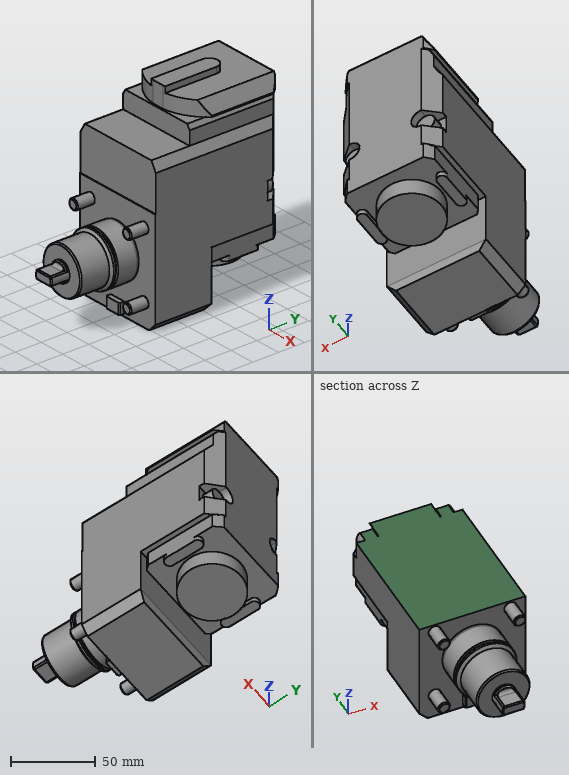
import cadquery as cq
import math


width = 70.0
back_y = 99.3
bottom_z = -42.0
shoulder_z = 72.0
step_z = 1.4
foot_depth = 43.5
side_bevel_height = 6.9
neck_width = 61.9
foot_bevel = (5.6, 5.8)
foot_back_bevel = (1.5, 5.8)
corner_bevel = (9.5, 8.8)
relief_z = 37.6
relief_depth = 0.5

neck_front_y = 30.0
neck_top_z = 85.9
neck_bevel_height = 3.6
plate_top_z = 97.0
plate_rim_height = 1.0
plate_width = 63.2
plate_top_width = 51.4
flat_width = 9.4

head_y = 70.4
head_radius = 39.5
top_key_width = 13.0
top_key_end_y = 77.3
top_z = 101.5
lower_plate_z = -10.8
spindle_diameter = 42.0
spindle_end_z = -23.0
tab_length = 27.6
tab_width = 6.9
tab_height = 3.6

spigot_diameter = 40.0
spigot_root_diameter = 39.6
root_length = 0.8
root_bevel_end = 1.5
groove_diameter = 36.4
groove_start = 16.0
groove_end = 17.9
collar_edge = 19.5
collar_end = 20.8
nose_diameter = 35.3
nose_end = 43.1
nose_bevel = (0.8, 1.1)

hub_diameter = 15.0
hub_end = 45.3
hub_bevel = 1.0
tang_thickness = 6.9
tang_end = 57.4
tang_bevel = 0.8
tang_root_radius = 2.2

screw_spacing = 49.8
screw_diameter = 8.0
screw_length = 13.8
screw_bevel = 0.8
screw_head_diameter = 13.0
screw_head_height = 7.2
screw_pocket_width = 13.3
screw_seat_y = 86.8
locating_key = (12.5, 3.8, 8.1)
locating_key_z = -35.9
locating_key_bevel = 0.8

overlap = 1.5
tan_30 = math.tan(math.radians(30))


def block(x_size, y_min, y_max, z_min, z_max):
    """Box centred on X = 0."""
    box = cq.Workplane("XY").box(x_size, y_max - y_min, z_max - z_min, centered=(True, False, False))
    return box.translate((0, y_min, z_min))


def beveled_wall(half_profile, y_min, y_max):
    """Mirror an (x, z) half outline about X = 0 and extrude it along Y."""
    mirrored = [(-x, z) for x, z in reversed(half_profile)]
    wall = cq.Workplane("XZ").polyline(half_profile + mirrored).close().extrude(y_min - y_max)
    return wall.translate((0, y_min, 0))


def round_bar(diameter, y_min, y_max, x=0, z=0):
    """Cylinder along Y."""
    bar = cq.Workplane("XZ").circle(diameter / 2).extrude(y_min - y_max)
    return bar.translate((x, y_min, z))


def head_disc(radius, z_min, z_max):
    """Cylinder on the vertical head axis."""
    return cq.Workplane("XY").circle(radius).extrude(z_max - z_min).translate((0, head_y, z_min))


def make_housing():
    half = width / 2
    housing = beveled_wall(
        [
            (half - foot_bevel[0], bottom_z),
            (half, bottom_z + foot_bevel[1]),
            (half, shoulder_z - side_bevel_height),
            (neck_width / 2, shoulder_z),
        ],
        0,
        back_y,
    )
    housing = housing.cut(block(2 * width, foot_depth, 2 * back_y, 2 * bottom_z, step_z))
    foot_back_wedge = (
        cq.Workplane("YZ")
        .moveTo(foot_depth, bottom_z)
        .lineTo(foot_depth, bottom_z + foot_back_bevel[1])
        .lineTo(foot_depth - foot_back_bevel[0], bottom_z)
        .close()
        .extrude(half, both=True)
    )
    relief = block(width, 0, relief_depth, relief_z, shoulder_z)
    return housing.cut(foot_back_wedge).cut(relief)


def make_neck():
    half = neck_width / 2
    return beveled_wall(
        [
            (half, shoulder_z - overlap),
            (half, neck_top_z - neck_bevel_height),
            (half - neck_bevel_height * tan_30, neck_top_z),
        ],
        neck_front_y,
        back_y,
    )


def make_top_plate():
    half = plate_width / 2
    plate = beveled_wall(
        [
            (half, neck_top_z),
            (half, neck_top_z + plate_rim_height),
            (plate_top_width / 2, plate_top_z),
        ],
        0,
        back_y,
    )
    key_round_y = top_key_end_y - top_key_width / 2
    key = block(top_key_width, 0, key_round_y, neck_top_z, top_z).union(
        cq.Workplane("XY", origin=(0, key_round_y, neck_top_z))
        .circle(top_key_width / 2)
        .extrude(top_z - neck_top_z)
    )
    flat_y = head_y - math.sqrt(head_radius**2 - (flat_width / 2) ** 2)
    outline = head_disc(head_radius, neck_top_z, top_z).cut(block(width, 0, flat_y, neck_top_z, top_z))
    return plate.union(key).intersect(outline)


def cut_back_corners(body):
    """Bevel the two vertical back corners of the housing and neck."""
    for side in (-1, 1):
        corner = (
            cq.Workplane("XY", origin=(0, 0, bottom_z))
            .moveTo(side * width / 2, back_y)
            .lineTo(side * width / 2, back_y - corner_bevel[1])
            .lineTo(side * (width / 2 - corner_bevel[0]), back_y)
            .close()
            .extrude(neck_top_z - bottom_z)
        )
        body = body.cut(corner)
    return body


def make_lower_head():
    plate = head_disc(head_radius, lower_plate_z, step_z)
    plate = plate.intersect(block(plate_width, foot_depth - overlap, back_y, lower_plate_z, step_z))
    head = plate.union(head_disc(spindle_diameter / 2, spindle_end_z, step_z))
    for side in (-1, 1):
        tab = (
            cq.Workplane("XY")
            .slot2D(tab_length, tab_width, 90)
            .extrude(tab_height + overlap)
            .translate((side * (plate_width - tab_width) / 2, head_y, lower_plate_z - tab_height))
        )
        head = head.union(tab)
    return head


def make_spigot():
    """Turned spigot; the outline is (radius, y)."""
    outline = [
        (0, overlap),
        (spigot_root_diameter / 2, overlap),
        (spigot_root_diameter / 2, -root_length),
        (spigot_diameter / 2, -root_bevel_end),
        (spigot_diameter / 2, -groove_start),
        (groove_diameter / 2, -groove_start),
        (groove_diameter / 2, -groove_end),
        (spigot_diameter / 2, -groove_end),
        (spigot_diameter / 2, -collar_edge),
        (nose_diameter / 2, -collar_end),
        (nose_diameter / 2, -nose_end + nose_bevel[1]),
        (nose_diameter / 2 - nose_bevel[0], -nose_end),
        (0, -nose_end),
    ]
    return cq.Workplane("XY").polyline(outline).close().revolve(360, (0, 0, 0), (0, 1, 0))


def make_tang():
    half = tang_thickness / 2
    hub = round_bar(hub_diameter, -hub_end, -nose_end + overlap).faces("<Y").chamfer(hub_bevel)
    blade = round_bar(hub_diameter, -tang_end, -nose_end)
    blade = blade.intersect(block(hub_diameter, -tang_end, -nose_end, -half, half))
    blade = blade.faces("<Y or >Z or <Z").edges().chamfer(tang_bevel)

    root_height = half + tang_root_radius
    root_tip_y = -hub_end - tang_root_radius
    arc_offset = tang_root_radius * (1 - math.sqrt(0.5))
    root = (
        cq.Workplane("YZ")
        .moveTo(-nose_end, root_height)
        .lineTo(-hub_end, root_height)
        .threePointArc((-hub_end - arc_offset, half + arc_offset), (root_tip_y, half))
        .lineTo(root_tip_y, 0)
        .lineTo(-nose_end, 0)
        .close()
        .extrude(hub_diameter / 2 - hub_bevel, both=True)
    )
    root = root.union(root.mirror("XY"))
    envelope = round_bar(hub_diameter - 2 * hub_bevel, root_tip_y, -nose_end)
    return hub.union(blade).union(root.intersect(envelope))


def make_locating_key():
    x_size, length, height = locating_key
    key = block(x_size, -length, overlap, locating_key_z - height / 2, locating_key_z + height / 2)
    return key.faces("<Y").edges("|Z").chamfer(locating_key_bevel)


def add_screws(body):
    """Four screw ends in front; the upper two have heads in side-open pockets at the back."""
    offset = screw_spacing / 2
    for side in (-1, 1):
        x = side * offset
        pocket = round_bar(screw_pocket_width, screw_seat_y, back_y, x, offset)
        opening = block(width / 2, screw_seat_y, back_y, -screw_pocket_width / 2, screw_pocket_width / 2)
        opening = opening.translate((x + side * width / 4, 0, offset))
        head = round_bar(
            screw_head_diameter, screw_seat_y - overlap, screw_seat_y + screw_head_height, x, offset
        )
        body = body.cut(pocket.union(opening)).union(head)
        for z in (-offset, offset):
            screw = round_bar(screw_diameter, -screw_length, overlap, x, z)
            body = body.union(screw.faces("<Y").chamfer(screw_bevel))
    return body


body = make_housing().union(make_neck())
body = cut_back_corners(body)
body = body.union(make_top_plate()).union(make_lower_head())
body = body.union(make_spigot()).union(make_tang()).union(make_locating_key())
result = add_screws(body)